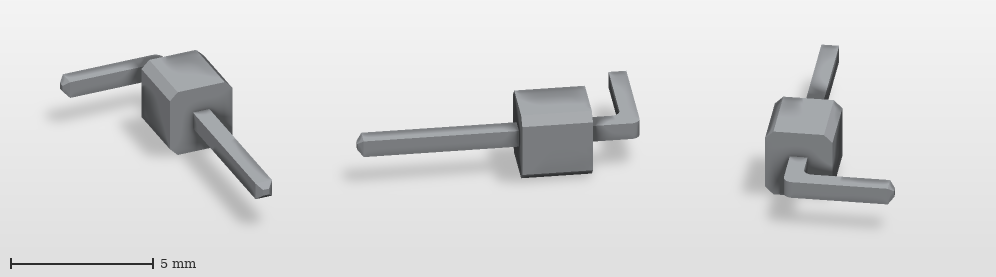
import cadquery as cq

overall_length = 10.02
overall_depth = 4.81
pin_size = 0.63
bend_radius = 0.32
tip_chamfer = 0.2

block_length = 2.5
block_depth = 2.39
block_height = 2.54
block_chamfer = 0.3
block_start = 1.81

half_pin = pin_size / 2
leg_end = block_depth / 2 - overall_depth


def make_block():
    """Insulator block with its four lengthwise edges chamfered."""
    return (
        cq.Workplane("XY")
        .box(block_length, block_depth, block_height, centered=(False, True, True))
        .edges("|X")
        .chamfer(block_chamfer)
        .translate((block_start, 0, 0))
    )


def make_pin():
    """Square L-shaped pin with a rounded bend and tapered tips."""
    pin = (
        cq.Workplane("XY")
        .workplane(offset=-half_pin)
        .moveTo(0, leg_end)
        .lineTo(pin_size, leg_end)
        .lineTo(pin_size, -half_pin - bend_radius)
        .radiusArc((pin_size + bend_radius, -half_pin), bend_radius)
        .lineTo(overall_length, -half_pin)
        .lineTo(overall_length, half_pin)
        .lineTo(bend_radius, half_pin)
        .radiusArc((0, half_pin - bend_radius), -bend_radius)
        .close()
        .extrude(pin_size)
    )
    for tip_face in (">X", "<Y"):
        pin = pin.faces(tip_face).chamfer(tip_chamfer)
    return pin


result = make_block().union(make_pin())